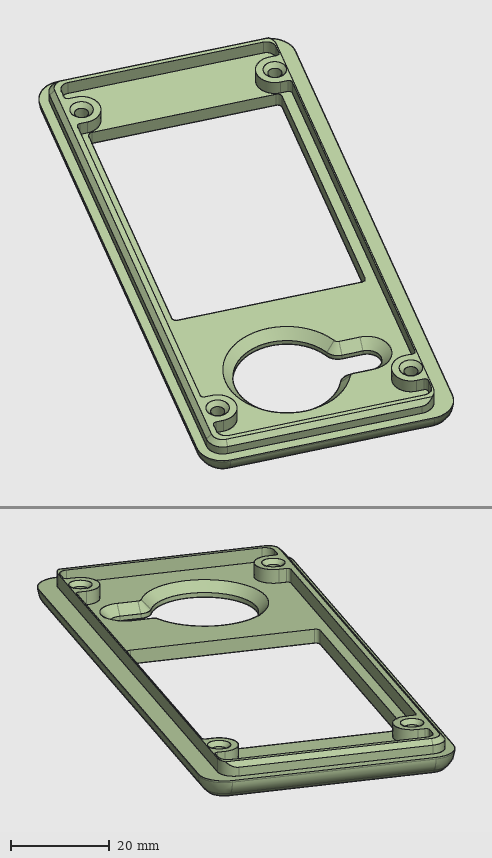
import cadquery as cq
import math

TOLERANCE = 0.01

LENGTH = 119.0
WIDTH = 54.1
HEIGHT = 7.0

RIM_HEIGHT = 3.0
PLATE_HEIGHT = HEIGHT - RIM_HEIGHT
PLATE_CORNER_RADIUS = 5.5
SIDE_CHAMFER = 2.0
SIDE_RADIUS = 4.0

RIM_INSET = 2.0
RIM_BACK_INSET = 2 * RIM_INSET
RIM_CORNER_RADIUS = PLATE_CORNER_RADIUS - RIM_INSET
RIM_CHAMFER = 1.1

RECESS_LENGTH = LENGTH - 4 * RIM_INSET
RECESS_WIDTH = 45.5
RECESS_CORNER_RADIUS = 2.0

UNDERSIDE_INSET = 2 * RIM_INSET
UNDERSIDE_DEPTH = 1.0
UNDERSIDE_CORNER_RADIUS = 2.0

BOSS_X = 46.9
BOSS_Y = 20.5
BOSS_RADIUS = 3.9
BOSS_BLEND_RADIUS = 0.7
SCREW_DIAMETER = 2.9
SCREW_DEPTH = 3.5
SINK_DIAMETER = 4.8
SINK_DEPTH = 1.0

WINDOW_LEFT = -42.8
WINDOW_RIGHT = 16.2
WINDOW_WIDTH = 40.9
WINDOW_CORNER_RADIUS = 1.0

KEYHOLE_X = 36.9
KEYHOLE_Y = -2.7
KEYHOLE_RADIUS = 11.0
SLOT_RADIUS = 3.0
SLOT_REACH = 17.0
NECK_RADIUS = 3.0
BEVEL_WIDTH = 2.0
LAND_TOP = PLATE_HEIGHT - BEVEL_WIDTH


def rounded_block(length, width, height, radius):
    """Block standing on Z = 0 with rounded vertical edges."""
    block = cq.Workplane("XY").box(length, width, height, centered=(True, True, False))
    return block.edges("|Z").fillet(radius)


def make_plate():
    """Plate with a chamfer around its underside, blended into the vertical sides."""
    plate = rounded_block(LENGTH, WIDTH, PLATE_HEIGHT, PLATE_CORNER_RADIUS)
    chamfered = plate.faces("<Z").edges().chamfer(SIDE_CHAMFER)
    shoulder = cq.selectors.BoxSelector(
        (-LENGTH, -WIDTH, SIDE_CHAMFER - TOLERANCE),
        (LENGTH, WIDTH, SIDE_CHAMFER + TOLERANCE),
    )
    return chamfered.edges(shoulder).fillet(SIDE_RADIUS)


def make_rim():
    """Rim block, chamfered along the top except on its set-back +Y side."""
    length = LENGTH - 2 * RIM_INSET
    width = WIDTH - RIM_INSET - RIM_BACK_INSET
    shift = (RIM_INSET - RIM_BACK_INSET) / 2
    outline = rounded_block(length, width, RIM_HEIGHT, RIM_CORNER_RADIUS).translate((0, shift, 0))

    chamfered = (
        cq.Workplane("XY")
        .box(length, WIDTH, RIM_HEIGHT, centered=(True, True, False))
        .translate((0, RIM_INSET, 0))
        .edges("|Z and <Y")
        .fillet(RIM_CORNER_RADIUS)
        .faces(">Z")
        .edges("not >Y")
        .chamfer(RIM_CHAMFER)
    )
    return outline.intersect(chamfered).translate((0, 0, PLATE_HEIGHT))


def make_boss(side_x, side_y):
    """Round post with straight sides that run into the nearest long wall."""
    wall_y = RECESS_WIDTH / 2
    post = cq.Workplane("XY").center(side_x * BOSS_X, side_y * BOSS_Y).circle(BOSS_RADIUS).extrude(RIM_HEIGHT)
    bridge = (
        cq.Workplane("XY")
        .center(side_x * BOSS_X, side_y * (BOSS_Y + wall_y) / 2)
        .rect(2 * BOSS_RADIUS, wall_y - BOSS_Y)
        .extrude(RIM_HEIGHT)
    )
    return post.union(bridge)


def make_recess():
    """Pocket inside the rim, leaving the four bosses blended into the long walls."""
    recess = rounded_block(RECESS_LENGTH, RECESS_WIDTH, RIM_HEIGHT, RECESS_CORNER_RADIUS)
    sides = [(side_x, side_y) for side_x in (-1, 1) for side_y in (-1, 1)]
    for side_x, side_y in sides:
        recess = recess.cut(make_boss(side_x, side_y))
    for side_x, side_y in sides:
        for edge in (-1, 1):
            x = side_x * BOSS_X + edge * BOSS_RADIUS
            corner = cq.selectors.NearestToPointSelector((x, side_y * RECESS_WIDTH / 2, RIM_HEIGHT / 2))
            recess = recess.edges(corner).fillet(BOSS_BLEND_RADIUS)
    return recess.translate((0, 0, PLATE_HEIGHT))


def make_underside_recess():
    """Shallow recess that thins the floor from below."""
    return rounded_block(
        LENGTH - 2 * UNDERSIDE_INSET,
        WIDTH - 2 * UNDERSIDE_INSET,
        UNDERSIDE_DEPTH,
        UNDERSIDE_CORNER_RADIUS,
    )


def make_screw_hole():
    """Single screw hole going down from Z = 0."""
    profile = [
        (0, 0),
        (SINK_DIAMETER / 2, 0),
        (SCREW_DIAMETER / 2, -SINK_DEPTH),
        (SCREW_DIAMETER / 2, -SCREW_DEPTH),
        (0, -SCREW_DEPTH),
    ]
    return cq.Workplane("XZ").polyline(profile).close().revolve(360, (0, 0), (0, 1)).val()


def make_screw_holes():
    """Blind screw holes with conical mouths, one in each boss."""
    return (
        cq.Workplane("XY", origin=(0, 0, HEIGHT))
        .rect(2 * BOSS_X, 2 * BOSS_Y, forConstruction=True)
        .vertices()
        .eachpoint(make_screw_hole())
    )


def make_window():
    """Rectangular opening through the floor."""
    window = rounded_block(WINDOW_RIGHT - WINDOW_LEFT, WINDOW_WIDTH, HEIGHT, WINDOW_CORNER_RADIUS)
    return window.translate(((WINDOW_LEFT + WINDOW_RIGHT) / 2, 0, 0))


def keyhole_outline(workplane, growth):
    """Round opening with a slot toward +Y and blended necks, grown outward by an offset."""
    radius = KEYHOLE_RADIUS + growth
    slot = SLOT_RADIUS + growth
    neck = NECK_RADIUS - growth
    neck_x = SLOT_RADIUS + NECK_RADIUS
    neck_y = math.sqrt((KEYHOLE_RADIUS + NECK_RADIUS) ** 2 - neck_x**2)
    neck_angle = math.atan2(neck_y, neck_x)
    touch = (radius * math.cos(neck_angle), radius * math.sin(neck_angle))
    middle_angle = math.pi + neck_angle / 2
    neck_middle = (neck_x + neck * math.cos(middle_angle), neck_y + neck * math.sin(middle_angle))
    return (
        workplane.moveTo(slot, SLOT_REACH)
        .threePointArc((0, SLOT_REACH + slot), (-slot, SLOT_REACH))
        .lineTo(-slot, neck_y)
        .threePointArc((-neck_middle[0], neck_middle[1]), (-touch[0], touch[1]))
        .threePointArc((0, -radius), touch)
        .threePointArc(neck_middle, (slot, neck_y))
        .close()
    )


def make_keyhole():
    """Keyhole opening that widens from the land up to the recess floor."""
    land = keyhole_outline(cq.Workplane("XY"), 0).extrude(LAND_TOP)
    lower = keyhole_outline(cq.Workplane("XY", origin=(0, 0, LAND_TOP)), 0)
    bevel = keyhole_outline(lower.workplane(offset=BEVEL_WIDTH), BEVEL_WIDTH).loft(ruled=True)
    return land.union(bevel).translate((KEYHOLE_X, KEYHOLE_Y, 0))


result = (
    make_plate()
    .union(make_rim())
    .cut(make_recess())
    .cut(make_underside_recess())
    .cut(make_screw_holes())
    .cut(make_window())
    .cut(make_keyhole())
)